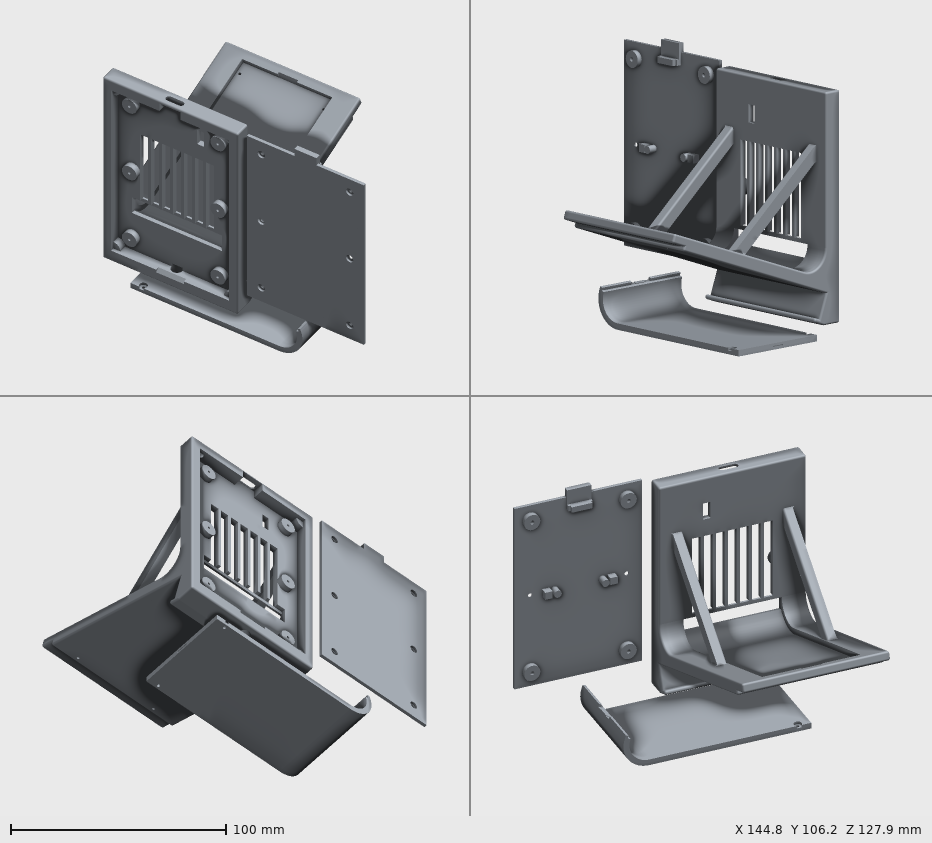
import cadquery as cq
import math

width = 74.9
mid_x = width / 2
height_bottom = 11.3
height_top = 121.8
wall_depth = 9.0
skin = 3.0
edge_radius = 1.0
bend_radius = 10.0
lid_width = 50.0

arm_angle = 20
arm_root_z = 33.6
arm_length = 102.1
arm_thickness = 6.7
rabbet_depth = 2.2
rabbet_length = 8.1
heel_setback = 2.9
foot_drop = 21.3
hook_reach = 3.0

cos_arm = math.cos(math.radians(arm_angle))
sin_arm = math.sin(math.radians(arm_angle))


def arm_point(along, above):
    """(Y, Z) of a point given along the arm top and square to it, from the arm root."""
    return (
        wall_depth + along * cos_arm - above * sin_arm,
        arm_root_z + along * sin_arm + above * cos_arm,
    )


bend_tangent = bend_radius / math.tan(math.radians(90 - arm_angle) / 2)
bend_center = arm_point(bend_tangent, bend_radius)

pocket_width = 65.2
pocket_bottom = 17.8
pocket_top = 116.0
pocket_depth = wall_depth - skin
boss_radius = 4.0
boss_height = 3.0
boss_hole_radius = 0.7
boss_spacing_x = 49.0
boss_spacing_z = 40.8
boss_low_z = 26.2
corner_post_radius = 3.9
corner_post_height = 4.0

grille_count = 7
grille_pitch = 6.1
grille_slot_width = 4.5
grille_bottom = 49.8
grille_top = 90.5

window_center = (50.5, 103.8)
window_size = (3.9, 8.7)

latch_width = 11.9
latch_top = 120.6
latch_depth = 2.1
port_length = 9.8
port_width = 3.2
port_y = 4.2
cable_hole_radius = 3.0
cable_hole_top = 19.7
thumb_notch_width = 15.3
thumb_notch_drop = 1.6
thumb_notch_depth = 2.0

recess_end = 96.7
recess_notch_width = 10.7
recess_notch_length = 1.2
lid_screw_spacing = 46.5
lid_screw_inset = 6.1
lid_screw_radius = 0.7
opening_bottom = 40.3
opening_depth = 2.0

strut_angle = 40
strut_top_z = 95.7
strut_thickness = 6.1
strut_width = 4.9
strut_outer_x = 7.1
strut_base_fillet = 1.0
strut_embed = 0.7

cover_left = 80.1
cover_right = 144.8
cover_bottom = 25.8
cover_top = 123.5
cover_thickness = 1.6
cover_x = (cover_left + cover_right) / 2
tab_width = 12.3
tab_top = 127.9
tab_thickness = 2.8
tab_root = 117.3
catch_height = 2.9
catch_reach = 4.2
tongue_width = 10.4
back_reach = 6.0
cover_boss_reach = 4.2
cover_low_z = 34.0
head_radius = 2.0
head_depth = 1.2
cover_hole_radius = 1.0
peg_radius = 1.9
peg_offset = 12.2
block_offset = 16.5
block_width = 3.8
block_reach = 5.4

lid_left = 15.5
lid_flat = 82.3
lip_thickness = 1.5
lip_length = 1.5
lip_gap = 12.0
tooth_width = 6.4
tooth_length = 0.3
lid_head_radius = 2.0
lid_head_depth = 1.3
slit_height = 0.6
slit_depth = 1.0


def block(x0, x1, y0, y1, z0, z1):
    """Box between opposite corners."""
    return cq.Workplane("XY").box(x1 - x0, y1 - y0, z1 - z0, centered=False).translate((x0, y0, z0))


def centered_block(x, x_size, y0, y1, z0, z1):
    """Box centred on x, between the given Y and Z limits."""
    return block(x - x_size / 2, x + x_size / 2, y0, y1, z0, z1)


def rod_y(x, z, radius, y0, y1):
    """Cylinder along Y."""
    return cq.Workplane("XZ", origin=(x, y0, z)).circle(radius).extrude(-(y1 - y0))


def prism_x(points, x0, x1):
    """(Y, Z) polygon drawn out along X."""
    return cq.Workplane("YZ", origin=(x0, 0, 0)).polyline(points).close().extrude(x1 - x0)


def housing_shell():
    """Wall, arm and hooked foot as one profile with rounded edges."""
    step = arm_length - rabbet_length
    lip = rabbet_depth - arm_thickness
    hook_top = rabbet_depth - foot_drop
    sole_break = arm_point(0, -foot_drop)
    sole_y = sole_break[0] - (sole_break[1] - height_bottom) / math.tan(math.radians(arm_angle))
    convex = [
        (0, height_bottom),
        (0, height_top),
        (wall_depth, height_top),
        arm_point(arm_length, 0),
        arm_point(arm_length, lip),
        arm_point(step, -arm_thickness),
        arm_point(hook_reach - heel_setback, hook_top),
        arm_point(hook_reach - heel_setback, -foot_drop),
    ]
    root = (wall_depth, arm_root_z)
    profile = [
        *convex[:3],
        root,
        *convex[3:5],
        arm_point(step, lip),
        convex[5],
        arm_point(-heel_setback, -arm_thickness),
        arm_point(-heel_setback, hook_top),
        *convex[6:],
        (sole_y, height_bottom),
    ]
    shell = prism_x(profile, 0, width)
    shell = shell.edges(cq.selectors.NearestToPointSelector((mid_x, *root))).fillet(bend_radius)
    rounded = shell.faces("<X or >X").edges()
    for y, z in convex:
        rounded = rounded.add(shell.edges(cq.selectors.NearestToPointSelector((mid_x, y, z))))
    return rounded.fillet(edge_radius)


def strut(outer_x, inward):
    """Sloping brace from wall to arm, its upper inner edge rounded; inward is +1 or -1 along X."""
    slope = math.tan(math.radians(strut_angle))
    drop = strut_thickness / math.cos(math.radians(strut_angle))
    run = (strut_top_z - arm_root_z) / (slope + math.tan(math.radians(arm_angle))) + strut_embed
    wall_y = wall_depth - strut_embed
    arm_y = wall_depth + run
    wall_z = strut_top_z + strut_embed * slope
    arm_z = strut_top_z - run * slope
    profile = [(wall_y, wall_z), (arm_y, arm_z), (arm_y, arm_z - drop), (wall_y, wall_z - drop)]
    inner_x = outer_x + inward * strut_width
    bar = prism_x(profile, min(outer_x, inner_x), max(outer_x, inner_x))
    top_middle = (inner_x, (wall_y + arm_y) / 2, (wall_z + arm_z) / 2)
    bar = bar.edges(cq.selectors.NearestToPointSelector(top_middle)).fillet(edge_radius)
    under_arm = prism_x(
        [arm_point(0, -strut_embed), arm_point(arm_length, -strut_embed), arm_point(arm_length, -width)],
        0,
        width,
    )
    return bar.cut(under_arm)


def strut_base_points(outer_x):
    """Middle of the outer edge where a strut meets the wall, and where it meets the arm."""
    slope = math.tan(math.radians(strut_angle))
    drop = strut_thickness / math.cos(math.radians(strut_angle))
    arm_slope = math.tan(math.radians(arm_angle))
    run = (strut_top_z - drop / 2 - arm_root_z) / (slope + arm_slope)
    return [
        (outer_x, wall_depth, strut_top_z - drop / 2),
        (outer_x, wall_depth + run, arm_root_z + run * arm_slope),
    ]


def add_struts(body):
    """Brace the arm near both sides and round the outer foot of each strut."""
    for outer_x, inward in [(strut_outer_x, 1), (width - strut_outer_x, -1)]:
        body = body.union(strut(outer_x, inward))
        for point in strut_base_points(outer_x):
            body = body.edges(cq.selectors.NearestToPointSelector(point)).fillet(strut_base_fillet)
    return body


def lid_recess():
    """Room for the lid: along the arm top, round the bend and up to the wall."""
    x0 = mid_x - lid_width / 2
    arm_part = prism_x(
        [
            arm_point(bend_tangent, -skin),
            arm_point(recess_end, -skin),
            arm_point(recess_end, skin),
            arm_point(bend_tangent, skin),
        ],
        x0,
        x0 + lid_width,
    )
    middle_angle = math.radians(180 + (90 - arm_angle) / 2 + arm_angle / 2)
    outer = bend_radius + skin
    arc_middle = (
        bend_center[0] + outer * math.cos(middle_angle),
        bend_center[1] + outer * math.sin(middle_angle),
    )
    bend_part = (
        cq.Workplane("YZ", origin=(x0, 0, 0))
        .moveTo(*bend_center)
        .lineTo(*arm_point(bend_tangent, -skin))
        .threePointArc(arc_middle, (bend_center[0] - outer, bend_center[1]))
        .close()
        .extrude(lid_width)
    )
    notch_x = mid_x - recess_notch_width / 2
    notch_end = recess_end + recess_notch_length
    notch = prism_x(
        [
            arm_point(recess_end, -skin),
            arm_point(notch_end, 0),
            arm_point(notch_end, skin),
            arm_point(recess_end, skin),
        ],
        notch_x,
        notch_x + recess_notch_width,
    )
    opening = centered_block(
        mid_x, lid_width, pocket_depth, pocket_depth + opening_depth, opening_bottom, grille_bottom
    )
    return arm_part.union(bend_part).union(notch).union(opening)


def lid_screw_holes():
    """Two holes square to the arm, near the far end of the lid recess."""
    y, z = arm_point(recess_end - lid_screw_inset, 0)
    plane = cq.Plane(origin=(mid_x, y, z), xDir=(1, 0, 0), normal=(0, -sin_arm, cos_arm))
    spots = [(-lid_screw_spacing / 2, 0), (lid_screw_spacing / 2, 0)]
    return cq.Workplane(plane).pushPoints(spots).circle(lid_screw_radius).extrude(-arm_thickness)


def add_pocket(body):
    """Front pocket with its screw bosses and corner posts."""
    x0 = mid_x - pocket_width / 2
    x1 = mid_x + pocket_width / 2
    inside = block(x0, x1, 0, pocket_depth, pocket_bottom, pocket_top)
    body = body.cut(inside)
    for x in (x0, x1):
        for z in (pocket_bottom, pocket_top):
            post = rod_y(x, z, corner_post_radius, pocket_depth - corner_post_height, pocket_depth)
            body = body.union(post.intersect(inside))
    front = pocket_depth - boss_height
    for side in (-1, 1):
        for row in range(3):
            x = mid_x + side * boss_spacing_x / 2
            z = boss_low_z + row * boss_spacing_z
            body = body.union(rod_y(x, z, boss_radius, front, pocket_depth))
            body = body.cut(rod_y(x, z, boss_hole_radius, front, pocket_depth))
    return body


def cut_grille(body):
    """Row of upright slots through the wall."""
    for i in range(grille_count):
        x = mid_x + (i - (grille_count - 1) / 2) * grille_pitch
        slot = centered_block(x, grille_slot_width, pocket_depth, wall_depth, grille_bottom, grille_top)
        body = body.cut(slot)
    return body


def cut_ports(body):
    """Window, latch notch, port slot, cable hole and thumb notch round the pocket."""
    x, z = window_center
    w, h = window_size
    body = body.cut(centered_block(x, w, 0, wall_depth, z - h / 2, z + h / 2))
    body = body.cut(centered_block(mid_x, latch_width, 0, pocket_depth, pocket_top, latch_top))
    port = (
        cq.Workplane("XY", origin=(mid_x, port_y, pocket_top))
        .slot2D(port_length, port_width)
        .extrude(height_top - pocket_top)
    )
    cable_hole = (
        cq.Workplane("XY", origin=(mid_x, pocket_depth, height_bottom))
        .circle(cable_hole_radius)
        .extrude(cable_hole_top - height_bottom)
    )
    thumb_notch = prism_x(
        [(0, pocket_bottom), (thumb_notch_depth, pocket_bottom), (0, pocket_bottom - thumb_notch_drop)],
        mid_x - thumb_notch_width / 2,
        mid_x + thumb_notch_width / 2,
    )
    return body.cut(port).cut(cable_hole).cut(thumb_notch)


def make_housing():
    """Wall with its pocket, arm with its lid recess, foot and struts."""
    body = add_struts(housing_shell())
    body = body.cut(lid_recess()).cut(lid_screw_holes())
    return cut_ports(cut_grille(add_pocket(body)))


def make_cover():
    """Flat plate with a latching tab on top and posts behind it."""
    back = cover_thickness
    body = block(cover_left, cover_right, 0, back, cover_bottom, cover_top)
    body = body.union(centered_block(cover_x, tab_width, 0, tab_thickness, tab_root, tab_top))
    catch_top = tab_root + catch_height
    body = body.union(centered_block(cover_x, tab_width, back, catch_reach, tab_root, catch_top))
    body = body.union(centered_block(cover_x, tongue_width, back, back_reach, tab_root, catch_top))
    middle_z = cover_low_z + boss_spacing_z
    for side in (-1, 1):
        body = body.union(rod_y(cover_x + side * peg_offset, middle_z, peg_radius, back, back_reach))
        rest_x = cover_x + side * block_offset
        rest = centered_block(
            rest_x, block_width, back, block_reach, middle_z - block_width / 2, middle_z + block_width / 2
        )
        body = body.union(rest)
        x = cover_x + side * boss_spacing_x / 2
        for row in range(3):
            z = cover_low_z + row * boss_spacing_z
            if row != 1:
                body = body.union(rod_y(x, z, boss_radius, back, cover_boss_reach))
            body = body.cut(rod_y(x, z, cover_hole_radius, 0, cover_boss_reach))
            body = body.cut(rod_y(x, z, head_radius, 0, head_depth))
    return body


def make_lid():
    """Flat strip with a curled end, as wide as the lid recess."""
    bend_x = lid_left + lid_flat
    outer = bend_radius + skin

    def bend_point(radius, angle, beyond=0.0):
        """(X, Z) on the bend at an angle above horizontal, moved on along the tangent."""
        a = math.radians(angle)
        return (
            bend_x + radius * math.cos(a) - beyond * math.sin(a),
            outer + radius * math.sin(a) + beyond * math.cos(a),
        )

    def tip(length):
        """Lip on the outer half of the curled end."""
        inner = outer - lip_thickness
        return [
            bend_point(inner, arm_angle),
            bend_point(outer, arm_angle),
            bend_point(outer, arm_angle, length),
            bend_point(inner, arm_angle, length),
        ]

    def strip(points, y, y_size):
        """(X, Z) polygon drawn out along Y."""
        plane = cq.Workplane("XZ", origin=(0, y, 0))
        return plane.polyline(points).close().extrude(-y_size)

    half_turn = (arm_angle - 90) / 2
    body = (
        cq.Workplane("XZ")
        .moveTo(lid_left, 0)
        .lineTo(bend_x, 0)
        .threePointArc(bend_point(outer, half_turn), bend_point(outer, arm_angle))
        .lineTo(*bend_point(bend_radius, arm_angle))
        .threePointArc(bend_point(bend_radius, half_turn), (bend_x, skin))
        .lineTo(lid_left, skin)
        .close()
        .extrude(-lid_width)
    )
    middle = lid_width / 2
    lip_width = (lid_width - lip_gap) / 2
    body = body.union(strip(tip(lip_length), 0, lip_width))
    body = body.union(strip(tip(lip_length), lid_width - lip_width, lip_width))
    body = body.union(strip(tip(tooth_length), middle - tooth_width / 2, tooth_width))

    screw_x = lid_left + lid_screw_inset
    for side in (-1, 1):
        y = middle + side * lid_screw_spacing / 2
        spot = cq.Workplane("XY", origin=(screw_x, y, 0))
        body = body.cut(spot.circle(lid_screw_radius).extrude(skin))
        body = body.cut(spot.workplane(offset=skin - lid_head_depth).circle(lid_head_radius).extrude(skin))
    slit = block(
        lid_left,
        lid_left + slit_depth,
        middle - tooth_width / 2,
        middle + tooth_width / 2,
        (skin - slit_height) / 2,
        (skin + slit_height) / 2,
    )
    return body.cut(slit)


housing = make_housing()
cover = make_cover()
lid = make_lid()

result = cq.Compound.makeCompound([housing.val(), cover.val(), lid.val()])